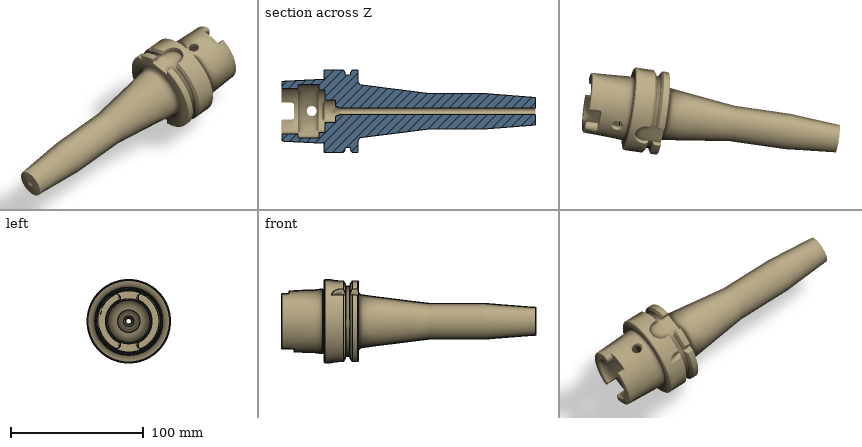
import cadquery as cq
import math


shank_length = 32.0
gauge_diameter = 48.04
gauge_offset = 6.3
taper_end_offset = 2.2
taper_ratio = 9.98
tip_fillet = 0.9

relief_width = 1.05
relief_ramp = 0.5
relief_depth = 0.3
relief_face_depth = 0.3
relief_face_diameter = 51.4
relief_floor_diameter = 50.2

flange_diameter = 63.0
flange_width = 26.0
flange_front_chamfer = 0.7
flange_back_chamfer = 0.5
groove_center = 18.0
groove_bottom_diameter = 55.0
groove_bottom_width = 3.6
groove_fillet = 0.5
groove_mouth_width = 6.8
groove_bevel_depth = 2.4

nose_end = 160.0
nose_length = 38.0
nose_angle = 4.5
neck_cylinder_start = 79.6
neck_diameter = 27.0
neck_root_diameter = 40.0
neck_fillet_length = 2.3

mouth_diameter = 34.0
mouth_chamfer = 0.6
mouth_chamfer_length = 1.0
mouth_depth = 12.5
clamp_groove_diameter = 40.0
clamp_groove_end = -4.0
floor_bore_diameter = 31.8
floor_x = 0.5
coolant_bore_diameter = 16.92
coolant_bore_depth = 8.0
cone_diameter = 7.94
cone_depth = 4.0
through_diameter = 4.3

slot_width = 12.54
slot_depth_top = 5.8
slot_depth_bottom = 9.5
slot_floor_fillet = 1.5
slot_mouth_fillet = 3.5
slot_shoulder_height = 20.8
slot_lead_in_width = 1.1
slot_lead_in_depth = 0.5

cross_hole_x = -9.0
cross_hole_diameter = 7.5
cross_hole_rim_diameter = 9.14

keyway_width = 16.0
keyway_arc_center_x = 12.7
keyway_floor = 26.5
notch_floor = 20.0
notch_wall = 20.0


def taper_radius(x):
    """Radius of the shank taper at position x."""
    return gauge_diameter / 2 + (x + gauge_offset) / taper_ratio / 2


flange_radius = flange_diameter / 2
tip_radius = taper_radius(tip_fillet - shank_length)
taper_end_radius = taper_radius(-taper_end_offset)
nose_radius = neck_diameter / 2 - nose_length * math.tan(math.radians(nose_angle))


def turned_body():
    """Solid of revolution: shank, relief, flange, gripper groove, neck and nose."""
    relief_radius = taper_end_radius - relief_depth
    groove_radius = groove_bottom_diameter / 2
    bevel_radius = flange_radius - groove_bevel_depth
    half_mouth = groove_mouth_width / 2
    half_bottom = groove_bottom_width / 2

    fillet_end_x = flange_width + neck_fillet_length
    root_radius = neck_root_diameter / 2
    cone_angle = math.atan2(root_radius - neck_diameter / 2, neck_cylinder_start - fillet_end_x)
    fillet_radius = neck_fillet_length / (1 - math.sin(cone_angle))
    fillet_center_r = root_radius + fillet_radius * math.cos(cone_angle)
    fillet_center_x = flange_width + fillet_radius
    fillet_mid_angle = (math.pi / 2 - cone_angle) / 2
    fillet_mid = (
        fillet_center_x - fillet_radius * math.cos(fillet_mid_angle),
        fillet_center_r - fillet_radius * math.sin(fillet_mid_angle),
    )

    profile = (
        cq.Workplane("XY")
        .moveTo(-shank_length, 0)
        .lineTo(-shank_length, tip_radius - tip_fillet)
        .radiusArc((-shank_length + tip_fillet, tip_radius), tip_fillet)
        .lineTo(-taper_end_offset, taper_end_radius)
        .lineTo(-relief_width, taper_end_radius)
        .lineTo(-relief_width + relief_ramp, relief_radius)
        .lineTo(relief_face_depth, relief_radius)
        .lineTo(relief_face_depth, relief_floor_diameter / 2)
        .lineTo(0, relief_face_diameter / 2)
        .lineTo(0, flange_radius - flange_front_chamfer)
        .lineTo(flange_front_chamfer, flange_radius)
        .lineTo(groove_center - half_mouth, flange_radius)
        .lineTo(groove_center - half_bottom, bevel_radius)
        .lineTo(groove_center - half_bottom, groove_radius + groove_fillet)
        .radiusArc((groove_center - half_bottom + groove_fillet, groove_radius), -groove_fillet)
        .lineTo(groove_center + half_bottom - groove_fillet, groove_radius)
        .radiusArc((groove_center + half_bottom, groove_radius + groove_fillet), -groove_fillet)
        .lineTo(groove_center + half_bottom, bevel_radius)
        .lineTo(groove_center + half_mouth, flange_radius)
        .lineTo(flange_width - flange_back_chamfer, flange_radius)
        .lineTo(flange_width, flange_radius - flange_back_chamfer)
        .lineTo(flange_width, fillet_center_r)
        .threePointArc(fillet_mid, (fillet_end_x, root_radius))
        .lineTo(neck_cylinder_start, neck_diameter / 2)
        .lineTo(nose_end - nose_length, neck_diameter / 2)
        .lineTo(nose_end, nose_radius)
        .lineTo(nose_end, 0)
        .close()
    )
    return profile.revolve(360, (0, 0, 0), (1, 0, 0))


def bore():
    """Stepped cavity of the shank and the coolant passage to the nose."""
    mouth_radius = mouth_diameter / 2
    mouth_end = -shank_length + mouth_depth
    clamp_radius = clamp_groove_diameter / 2
    floor_radius = floor_bore_diameter / 2
    coolant_radius = coolant_bore_diameter / 2
    coolant_end = floor_x + coolant_bore_depth
    through_radius = through_diameter / 2
    profile = (
        cq.Workplane("XY")
        .moveTo(-shank_length, 0)
        .lineTo(-shank_length, mouth_radius + mouth_chamfer)
        .lineTo(-shank_length + mouth_chamfer_length, mouth_radius)
        .lineTo(mouth_end, mouth_radius)
        .lineTo(mouth_end, clamp_radius)
        .lineTo(clamp_groove_end, clamp_radius)
        .lineTo(clamp_groove_end, floor_radius)
        .lineTo(floor_x, floor_radius)
        .lineTo(floor_x, coolant_radius)
        .lineTo(coolant_end, coolant_radius)
        .lineTo(coolant_end, cone_diameter / 2)
        .lineTo(coolant_end + cone_depth, through_radius)
        .lineTo(nose_end, through_radius)
        .lineTo(nose_end, 0)
        .close()
    )
    return profile.revolve(360, (0, 0, 0), (1, 0, 0))


def drive_slot(depth):
    """Slot across the +Z wall of the shank mouth, with rounded outer edges and floor corners."""
    half_width = slot_width / 2
    half_mouth = half_width + slot_mouth_fillet
    fillet_start = slot_shoulder_height - slot_mouth_fillet
    bend = slot_mouth_fillet * (1 - math.sqrt(0.5))
    section = (
        cq.Workplane("YZ", origin=(-shank_length, 0, 0))
        .moveTo(-half_width, 0)
        .lineTo(half_width, 0)
        .lineTo(half_width, fillet_start)
        .threePointArc((half_width + bend, slot_shoulder_height - bend), (half_mouth, slot_shoulder_height))
        .lineTo(half_mouth, flange_radius)
        .lineTo(-half_mouth, flange_radius)
        .lineTo(-half_mouth, slot_shoulder_height)
        .threePointArc((-half_width - bend, slot_shoulder_height - bend), (-half_width, fillet_start))
        .close()
    )
    flared = section.extrude(depth)
    for side in (1, -1):
        corner = (depth - shank_length, side * half_width, fillet_start / 2)
        flared = flared.edges(cq.selectors.NearestToPointSelector(corner)).fillet(slot_floor_fillet)
    lead_in = (
        cq.Workplane("XY")
        .moveTo(-shank_length, -half_width - slot_lead_in_width)
        .lineTo(-shank_length + slot_lead_in_depth, -half_width)
        .lineTo(-shank_length + slot_lead_in_depth, half_width)
        .lineTo(-shank_length, half_width + slot_lead_in_width)
        .close()
        .extrude(flange_radius)
    )
    return flared.union(lead_in)


def cross_hole():
    """Radial hole along Z with a conical rim at both ends."""
    rim_radius = cross_hole_rim_diameter / 2
    hole_radius = cross_hole_diameter / 2
    wall_radius = taper_radius(cross_hole_x)
    rim_depth = rim_radius - hole_radius
    profile = (
        cq.Workplane("XZ", origin=(cross_hole_x, 0, 0))
        .moveTo(0, 0)
        .lineTo(hole_radius, 0)
        .lineTo(hole_radius, wall_radius - rim_depth)
        .lineTo(rim_radius, wall_radius)
        .lineTo(rim_radius, flange_radius)
        .lineTo(0, flange_radius)
        .close()
    )
    upper = profile.revolve(360, (0, 0, 0), (0, 1, 0))
    return upper.union(upper.mirror("XY"))


def keyway(center_y, floor):
    """Round-ended keyway along X, milled down from +Z and open at the back of the flange."""
    radius = keyway_width / 2
    return (
        cq.Workplane("XY", origin=(0, 0, floor))
        .moveTo(keyway_arc_center_x, center_y - radius)
        .threePointArc((keyway_arc_center_x - radius, center_y), (keyway_arc_center_x, center_y + radius))
        .lineTo(flange_width, center_y + radius)
        .lineTo(flange_width, center_y - radius)
        .close()
        .extrude(flange_radius)
    )


top_keyway = keyway(0, keyway_floor)
orientation_notch = keyway(-notch_wall - keyway_width / 2, notch_floor)

result = turned_body().cut(bore())
result = result.cut(drive_slot(slot_depth_top))
result = result.cut(drive_slot(slot_depth_bottom).mirror("XY"))
result = result.cut(cross_hole())
result = result.cut(top_keyway)
result = result.cut(top_keyway.mirror("XY"))
result = result.cut(orientation_notch)